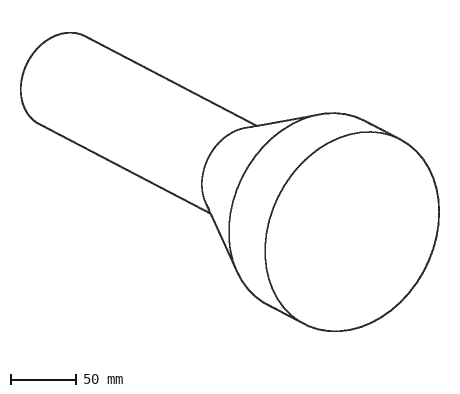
import cadquery as cq

total_length = 406.5
shaft_length = 254.0
head_length = 51.0
cone_end = total_length - head_length

shaft_diameter = 76.5
head_diameter = 160.0
shaft_radius = shaft_diameter / 2
head_radius = head_diameter / 2

profile = (
    cq.Workplane("XY")
    .moveTo(0, 0)
    .lineTo(0, shaft_radius)
    .lineTo(shaft_length, shaft_radius)
    .lineTo(cone_end, head_radius)
    .lineTo(total_length, head_radius)
    .lineTo(total_length, 0)
    .close()
)

result = profile.revolve(360, (0, 0, 0), (1, 0, 0))